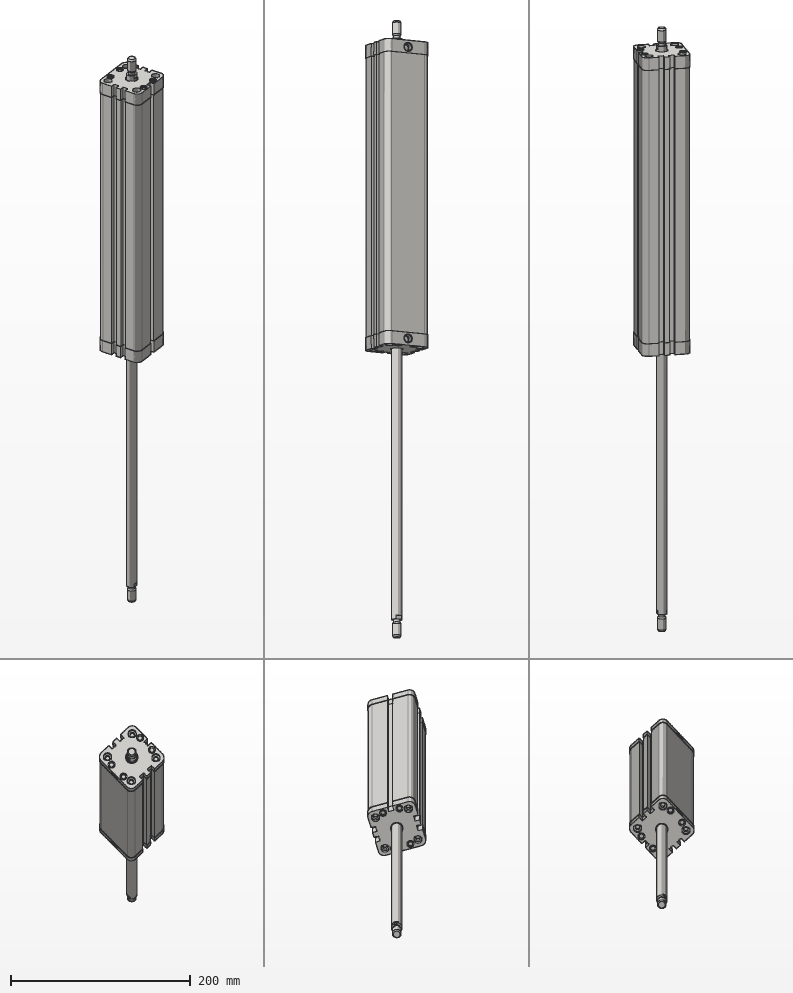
import cadquery as cq
import math


housing_length = 345.0
cap_height = 14.5
barrel_length = housing_length - 2 * cap_height
cap_width = 54.8
barrel_width = 53.8
flat_width = 41.6
cap_draft = 0.5

slot_width = 6.0
slot_floor = 22.0
slot_pair_offset = 6.0

bore_diameter = 40.0
end_wall = 3.5
core_length = housing_length - 2 * end_wall

rod_diameter = 12.0
stroke = 300.0
rod_overhang = 26.0
rod_length = housing_length + stroke + 2 * rod_overhang
rod_bottom = -stroke - rod_overhang
stud_diameter = 10.0
stud_length = 20.0
tip_diameter = 7.5
undercut_diameter = 7.7
undercut_length = 5.0
cone_angle = math.radians(30)
tip_length = (stud_diameter - tip_diameter) / 2 / math.tan(cone_angle)
runout_length = (stud_diameter - undercut_diameter) / 2 / math.tan(cone_angle)
wrench_flat_width = 10.0
wrench_flat_length = 4.0

seal_recess_diameter = 13.7
seal_recess_depth = 1.5

screw_offset = 19.0
screw_head_diameter = 9.0
screw_head_depth = 5.0
screw_bore_diameter = 5.2
screw_bore_depth = 10.0

fixing_x = 22.0
fixing_y = 9.45
fixing_diameter = 7.7
fixing_depth = 1.0
fixing_bore_diameter = 4.92
fixing_bore_depth = 2.0

port_axis_from_end = 7.7
port_mouth_diameter = 10.0
port_mouth_depth = 1.0
port_diameter = 8.57
port_thread_depth = 6.0
port_bore_diameter = 7.7


def rounded_prism(width, height, taper=0.0):
    """Square prism standing on Z = 0, its vertical edges rounded up to the flat stretches."""
    corner_radius = (width - flat_width) / 2
    outline = cq.Sketch().rect(width, width).vertices().fillet(corner_radius)
    return cq.Workplane("XY").placeSketch(outline).extrude(height, taper=taper)


def cut_slots(body, height):
    """Two slots in each Y side and one in the +X side, over the full height."""
    slot_depth = cap_width / 2 - slot_floor
    slot_center = slot_floor + slot_depth / 2
    y_slots = (
        cq.Workplane("XY")
        .rarray(2 * slot_pair_offset, 2 * slot_center, 2, 2)
        .rect(slot_width, slot_depth)
        .extrude(height)
    )
    x_slot = cq.Workplane("XY").center(slot_center, 0).rect(slot_depth, slot_width).extrude(height)
    return body.cut(y_slots).cut(x_slot)


def make_barrel():
    barrel = cut_slots(rounded_prism(barrel_width, barrel_length), barrel_length)
    barrel = barrel.faces("<Z").workplane(origin=(0, 0, 0)).hole(bore_diameter)
    return barrel.translate((0, 0, cap_height))


def make_port():
    """Stepped port on the -X side, running in to the bore."""
    port_height = cap_height - port_axis_from_end
    port_bore_depth = cap_width / 2 - rod_diameter
    port = cq.Workplane("YZ", origin=(-cap_width / 2, 0, port_height))
    mouth = port.circle(port_mouth_diameter / 2).extrude(port_mouth_depth)
    thread = port.circle(port_diameter / 2).extrude(port_thread_depth)
    bore = port.circle(port_bore_diameter / 2).extrude(port_bore_depth)
    return mouth.union(thread).union(bore)


def make_cap():
    """End cap with its inner face on Z = 0 and its outer face upward."""
    cap = cut_slots(rounded_prism(cap_width, cap_height, cap_draft), cap_height)
    core_space = cq.Workplane("XY").circle(bore_diameter / 2).extrude(cap_height - end_wall)
    cap = cap.cut(core_space).cut(make_port())
    outer_face = cap.faces(">Z").workplane(origin=(0, 0, cap_height))
    cap = outer_face.cboreHole(rod_diameter, seal_recess_diameter, seal_recess_depth)
    cap = (
        cap.faces(">Z")
        .workplane(origin=(0, 0, cap_height))
        .rarray(2 * screw_offset, 2 * screw_offset, 2, 2)
        .cboreHole(screw_bore_diameter, screw_head_diameter, screw_head_depth, screw_bore_depth)
    )
    return (
        cap.faces(">Z")
        .workplane(origin=(0, 0, cap_height))
        .rarray(2 * fixing_x, 2 * fixing_y, 2, 2)
        .cboreHole(fixing_bore_diameter, fixing_diameter, fixing_depth, fixing_bore_depth)
    )


def make_core():
    core = cq.Workplane("XY", origin=(0, 0, end_wall)).circle(bore_diameter / 2).extrude(core_length)
    return core.faces(">Z").workplane().hole(rod_diameter)


def make_rod():
    rod_radius = rod_diameter / 2
    stud_radius = stud_diameter / 2
    undercut_radius = undercut_diameter / 2
    stud_profile = [
        (tip_diameter / 2, 0),
        (stud_radius, tip_length),
        (stud_radius, stud_length - undercut_length),
        (undercut_radius, stud_length - undercut_length + runout_length),
        (undercut_radius, stud_length),
        (rod_radius, stud_length),
    ]
    upper_profile = [(radius, rod_length - distance) for radius, distance in reversed(stud_profile)]
    outline = [(0, 0)] + stud_profile + upper_profile + [(0, rod_length)]
    rod = cq.Workplane("XZ").polyline(outline).close().revolve(360, (0, 0, 0), (0, 1, 0))

    side_depth = (rod_diameter - wrench_flat_width) / 2
    flat_center = (wrench_flat_width + side_depth) / 2
    for bottom in (stud_length, rod_length - stud_length - wrench_flat_length):
        flats = (
            cq.Workplane("XY", origin=(0, 0, bottom))
            .rarray(2 * flat_center, 1, 2, 1)
            .rect(side_depth, rod_diameter)
            .extrude(wrench_flat_length)
        )
        rod = rod.cut(flats)
    return rod.translate((0, 0, rod_bottom))


barrel = make_barrel()
cap = make_cap()
upper_cap = cap.translate((0, 0, housing_length - cap_height))
lower_cap = cap.mirror("XY").translate((0, 0, cap_height))
core = make_core()
rod = make_rod()

result = cq.Compound.makeCompound([barrel.val(), upper_cap.val(), lower_cap.val(), core.val(), rod.val()])